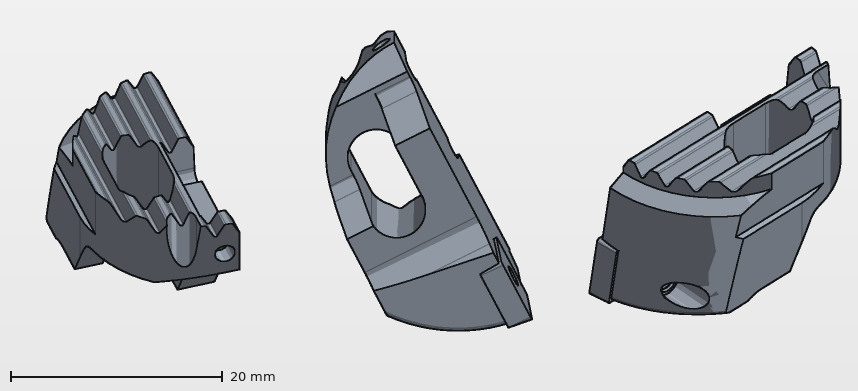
import cadquery as cq
import math


height = 15.0
body_radius = 11.9
rim_radius = 11.95
cone_top_radius = 13.65
cone_bottom_radius = 15.75
cone_top_z = 12.1
rim_bottom_z = 13.02
front_flat_y = -11.45
ledge_inner_z = 9.8
ledge_outer_z = 9.52
bottom_back_z = 0.17
bottom_front_z = 1.45
bottom_edge_radius = 0.4

sole_z = 1.93
nose_bottom_x = -8.62
nose_end_x = -5.12
nose_slope = math.radians(42)
seat_z = 7.5
relief_foot_x = -1.5
leg_foot_x = 4.5
leg_slope = math.radians(60)
leg_arc_radius = 1.6
end_bevel_x = 9.18
end_bevel_z = 9.18

slot_length = 9.63
slot_width = 5.43
slot_x = 0.98
slot_y = -6.4
relief_y = slot_y + slot_width / 2

tooth_pitch = 2.5
first_groove_y = 0.15
groove_count = 6
groove_depth = 1.37
tooth_round = 0.2
flank_angle = math.radians(29)

notch_x = 4.03
notch_top_width = 11.48
notch_reach = 3.28
notch_depth = 3.65
notch_groove_radius = 1.05
notch_groove_spacing = 8.57
notch_floor_z = height - notch_depth

finger_radius = 1.43
finger_lean_x = 23
finger_lean_y = 8
finger_axis_x = 9.97
finger_axis_y = -5.12
side_hole_radius = 0.95
side_hole_y = -1.43
side_hole_z = 11.45
side_hole_bottom_x = 10.08

insert_width = 6.35
insert_thickness = 2.38
insert_face_y = 0.28
insert_lean = math.radians(10)
insert_clearance = 7
insert_corner_radius = 0.4
insert_x = -16.18

screw_x = -12.18
screw_z = 3.4
screw_radius = 1.0
screw_tip_y = -6.15
screw_tip_chamfer = 0.22
screw_access_radius = 1.35
screw_access_y = -6.38

far = 56.0


def extrude_y(outline, back_y, front_y):
    """Extrude a closed XZ outline from back_y toward -Y as far as front_y."""
    return outline.extrude(back_y - front_y).translate((0, back_y, 0))


def blank():
    """Round side on +X, conical side on -X, flat back, stepped front and sloping bottom."""
    side_outline = [
        (0, bottom_back_z),
        (0, height),
        (front_flat_y, height),
        (front_flat_y, ledge_inner_z),
        (-body_radius, ledge_outer_z),
        (-body_radius, bottom_front_z),
    ]
    side = cq.Workplane("YZ").polyline(side_outline).close().extrude(far, both=True)
    round_side = cq.Workplane("XY").circle(body_radius).extrude(height)
    right_half = cq.Workplane("XY").box(far, far, far, centered=(False, True, True))
    left_half = right_half.translate((-far, 0, 0))
    conical_side = (
        cq.Workplane("XZ")
        .polyline([
            (0, 0),
            (cone_bottom_radius, 0),
            (cone_top_radius, cone_top_z),
            (rim_radius, rim_bottom_z),
            (rim_radius, height),
            (0, height),
        ])
        .close()
        .revolve(360, (0, 0, 0), (0, 1, 0))
    )
    conical_half = conical_side.intersect(left_half).intersect(side)
    conical_half = conical_half.faces("<Z").edges("%ELLIPSE").fillet(bottom_edge_radius)
    round_half = round_side.intersect(right_half).intersect(side)
    return conical_half.union(round_half)


def slope_to_seat(outline, foot_x):
    """Continue an outline up the steep slope and round it into the level seat."""
    corner_x = foot_x + (seat_z - sole_z) / math.tan(leg_slope)
    tangent = leg_arc_radius * math.tan(leg_slope / 2)
    arc_end_x = corner_x + tangent
    return (
        outline.lineTo(corner_x - tangent * math.cos(leg_slope), seat_z - tangent * math.sin(leg_slope))
        .threePointArc(
            (
                arc_end_x - leg_arc_radius * math.sin(leg_slope / 2),
                seat_z - leg_arc_radius * (1 - math.cos(leg_slope / 2)),
            ),
            (arc_end_x, seat_z),
        )
    )


def underside_cut():
    """Everything below the nose, the sole and the bevelled +X end, through the whole width."""
    nose_corner_x = nose_bottom_x + (sole_z - bottom_back_z) / math.tan(nose_slope)
    tangent = nose_end_x - nose_corner_x
    arc_radius = tangent / math.tan(nose_slope / 2)
    arc_start = (
        nose_corner_x - tangent * math.cos(nose_slope),
        sole_z - tangent * math.sin(nose_slope),
    )
    arc_middle = (
        nose_end_x - arc_radius * math.sin(nose_slope / 2),
        sole_z - arc_radius * (1 - math.cos(nose_slope / 2)),
    )
    outline = (
        cq.Workplane("XZ")
        .moveTo(nose_bottom_x - bottom_back_z / math.tan(nose_slope), 0)
        .lineTo(*arc_start)
        .threePointArc(arc_middle, (nose_end_x, sole_z))
        .lineTo(leg_foot_x, sole_z)
    )
    outline = slope_to_seat(outline, leg_foot_x)
    outline = (
        outline.lineTo(end_bevel_x, seat_z)
        .lineTo(body_radius, end_bevel_z)
        .lineTo(far, end_bevel_z)
        .lineTo(far, 0)
        .close()
    )
    return extrude_y(outline, far / 2, -far / 2)


def front_relief():
    """Clearance under the seat in front of the leg."""
    outline = cq.Workplane("XZ").moveTo(relief_foot_x, sole_z)
    outline = slope_to_seat(outline, relief_foot_x)
    outline = outline.lineTo(far, seat_z).lineTo(far, 0).lineTo(relief_foot_x, 0).close()
    return extrude_y(outline, relief_y, -far)


def bolt_slot():
    return cq.Workplane("XY").center(slot_x, slot_y).slot2D(slot_length, slot_width).extrude(height)


def tooth_grooves():
    """V grooves along X with rounded bottoms and rounded tooth edges."""
    sine = math.sin(flank_angle)
    cosine = math.cos(flank_angle)
    vee_depth = groove_depth + tooth_round * (1 / sine - 1)
    half_width = vee_depth * math.tan(flank_angle)
    edge_turn = math.pi / 2 - flank_angle
    edge_tangent = tooth_round * math.tan(edge_turn / 2)
    bottom_z = height - groove_depth
    round_rise = tooth_round * (1 - sine)
    bottom_y = tooth_round * cosine
    edge_y = half_width + edge_tangent
    edge_middle_y = edge_y - tooth_round * math.sin(edge_turn / 2)
    edge_middle_z = height - tooth_round * (1 - math.cos(edge_turn / 2))
    edge_foot_y = edge_y - tooth_round * cosine
    edge_foot_z = height - round_rise
    groove = (
        cq.Workplane("YZ")
        .moveTo(-edge_y, height)
        .threePointArc((-edge_middle_y, edge_middle_z), (-edge_foot_y, edge_foot_z))
        .lineTo(-bottom_y, bottom_z + round_rise)
        .threePointArc((0, bottom_z), (bottom_y, bottom_z + round_rise))
        .lineTo(edge_foot_y, edge_foot_z)
        .threePointArc((edge_middle_y, edge_middle_z), (edge_y, height))
        .close()
        .extrude(far, both=True)
    )
    return [groove.translate((0, first_groove_y - i * tooth_pitch, 0)) for i in range(groove_count)]


def key_notch():
    half_floor = notch_groove_spacing / 2 + notch_groove_radius
    half_top = notch_top_width / 2
    outline = (
        cq.Workplane("XZ")
        .polyline([
            (-half_floor, notch_floor_z),
            (half_floor, notch_floor_z),
            (half_top, height),
            (-half_top, height),
        ])
        .close()
    )
    notch = extrude_y(outline, 0, -notch_reach)
    for side in (-1, 1):
        circle = cq.Workplane("XZ").center(side * notch_groove_spacing / 2, notch_floor_z)
        notch = notch.union(extrude_y(circle.circle(notch_groove_radius), 0, -notch_reach))
    return notch.translate((notch_x, 0, 0))


def finger_groove():
    """Round-ended slot, open toward +X, that leans out of the side as it goes down."""
    cutter = cq.Workplane("XY").circle(finger_radius).extrude(far, both=True)
    opening = cq.Workplane("XY").box(far / 2, 2 * finger_radius, 2 * far, centered=(False, True, True))
    cutter = cutter.union(opening)
    cutter = cutter.rotate((0, 0, 0), (0, 1, 0), -finger_lean_x)
    cutter = cutter.rotate((0, 0, 0), (1, 0, 0), -finger_lean_y)
    return cutter.translate((finger_axis_x, finger_axis_y, height))


def side_hole():
    center = cq.Workplane("YZ").center(side_hole_y, side_hole_z)
    return center.circle(side_hole_radius).extrude(far).translate((side_hole_bottom_x, 0, 0))


def screw_hole(radius, back_y, front_y):
    return extrude_y(cq.Workplane("XZ").center(screw_x, screw_z).circle(radius), back_y, front_y)


def insert_blank():
    lean_x = insert_width * math.tan(insert_lean)
    side = insert_width / math.cos(insert_lean)
    corners = [(0, 0), (side, 0), (side + lean_x, insert_width), (lean_x, insert_width), (0, 0)]
    face = cq.Sketch().polygon(corners).vertices().fillet(insert_corner_radius)
    plate = cq.Workplane("XZ").placeSketch(face).extrude(insert_thickness, taper=insert_clearance)
    return plate.translate((insert_x, insert_face_y, 0))


def make_insert():
    return insert_blank().cut(screw_hole(screw_radius, insert_face_y, screw_tip_y))


def make_screw():
    screw = screw_hole(screw_radius, insert_face_y, screw_tip_y)
    return screw.faces("<Y").chamfer(screw_tip_chamfer)


def make_cartridge():
    body = blank().cut(underside_cut()).cut(front_relief()).cut(bolt_slot())
    for groove in tooth_grooves():
        body = body.cut(groove)
    body = body.cut(key_notch()).cut(finger_groove()).cut(side_hole())
    body = body.cut(insert_blank())
    body = body.cut(screw_hole(screw_radius, insert_face_y, screw_access_y))
    return body.cut(screw_hole(screw_access_radius, screw_access_y, -far))


cartridge = make_cartridge().solids()
insert = make_insert().solids()
screw = make_screw().solids()

result = cq.Compound.makeCompound([cartridge.val(), insert.val(), screw.val()])